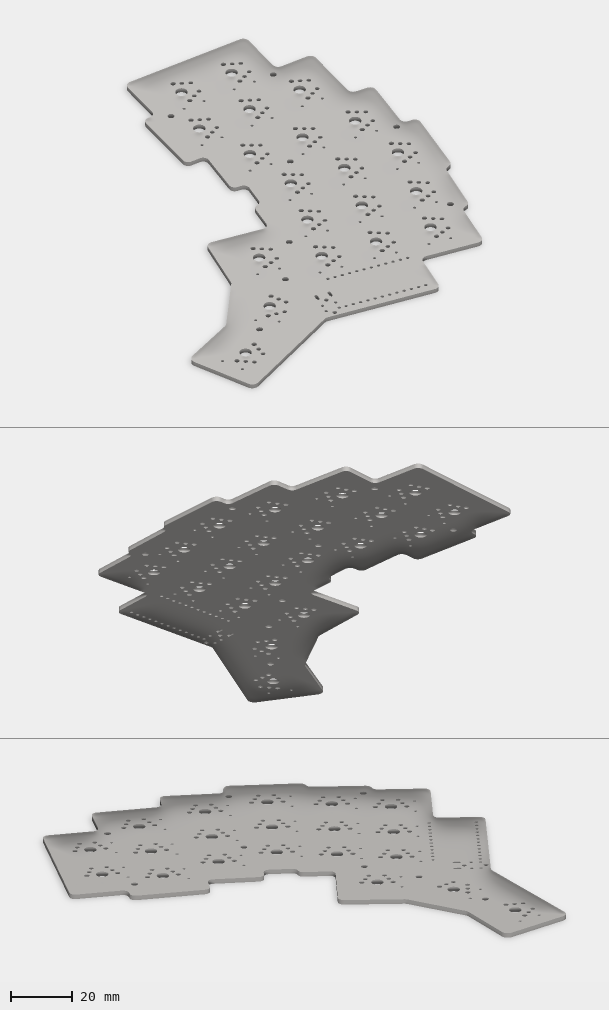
import cadquery as cq
import math


THICKNESS = 1.6
CORNER_RADIUS = 2.0
THUMB_CORNER_RADIUS = 2.35
RING_ANGLE = -5.0
MIDDLE_ANGLE = -7.0
INDEX_ANGLE = -9.0
THUMB_MIDDLE_ANGLE = -37.0
THUMB_TIP_ANGLE = -65.0

OUTLINE = [
    (0, 56.95), (0, 102.85), (18.9, 102.85), (18.9, 116.6),
    (42.4, 116.6), (43.1, 124.65), (64.35, 122.7), (64.85, 128.15),
    (90.65, 125.0), (91.75, 122.0), (111.3, 118.9), (112.0, 115.8),
    (130.05, 112.9), (126.55, 90.9), (143.1, 88.3), (136.85, 48.6),
    (154.7, 10.35), (131.8, -0.53), (123.1, 19.2),
    (105.5, 32.15), (83.85, 35.8), (87.45, 57.6),
    (76.0, 58.95), (75.4, 61.9), (64.8, 63.2), (64.2, 57.95),
    (45.4, 59.6), (45.4, 52.2), (18.9, 52.2), (18.9, 56.95),
]

KEY_PITCH = 19.05
STEM_DIAMETER = 3.99
PEG_DIAMETER = 1.7
PIN_DIAMETER = 1.5
DIODE_DIAMETER = 0.99
GRID = 1.27
DIODE_X = 7.75
DIODE_Y = 3 * GRID

PEG_POINTS = [(side * 4 * GRID, 0) for side in (-1, 1)]
PIN_POINTS = [(side * 3 * GRID, 2 * GRID) for side in (-1, 1)]
PIN_POINTS += [(side * 2 * GRID, 4 * GRID) for side in (-1, 1)]
DIODE_POINTS = [(DIODE_X, side * DIODE_Y) for side in (-1, 1)]

COLUMNS = [
    (13.22, 70.39, 0, 2),
    (32.20, 65.40, 0, 3),
    (51.98, 72.33, RING_ANGLE, 3),
    (71.81, 75.59, MIDDLE_ANGLE, 3),
    (90.59, 70.25, INDEX_ANGLE, 3),
    (108.90, 64.33, INDEX_ANGLE, 3),
]

THUMB_KEYS = [
    (99.05, 46.70, INDEX_ANGLE),
    (122.07, 36.40, THUMB_MIDDLE_ANGLE),
    (138.42, 17.12, THUMB_TIP_ANGLE),
]

CONTROLLER_DIAMETER = 1.09
CONTROLLER_PITCH = 2.54
CONTROLLER_ROW_SPACING = 15.24
CONTROLLER_PINS = 12
CONTROLLER_CORNER = (124.42, 87.33)

JACK_CENTER = (132.55, 53.03)
JACK_PEG_SPACING = 7.0
JACK_PEG_DIAMETER = 1.5
JACK_PIN_DIAMETER = 1.09
JACK_PIN_XS = (-1.2, 1.8)
JACK_ROW_Y = 2.3
JACK_SLOT_X = -5.85
JACK_SLOT_LENGTH = 2.6
JACK_SLOT_WIDTH = 1.09

MOUNT_DIAMETER = 2.2
MOUNT_POINTS = [
    (21.12, 100.32), (21.95, 61.01), (62.16, 81.41), (65.07, 119.97),
    (108.12, 113.71), (97.31, 59.19), (113.02, 47.98), (130.65, 27.25),
]


def place(point, center, angle):
    """Turn a point by an angle in degrees and move it from the origin to a center."""
    x, y = point
    cosine = math.cos(math.radians(angle))
    sine = math.sin(math.radians(angle))
    return (center[0] + x * cosine - y * sine, center[1] + x * sine + y * cosine)


def place_all(points, center, angle):
    return [place(point, center, angle) for point in points]


def hole_cutters(points, diameter):
    """Cylinders through the plate, used to cut round holes."""
    return cq.Workplane("XY").pushPoints(points).circle(diameter / 2).extrude(THICKNESS)


def make_plate():
    sharp = cq.Workplane("XY").polyline(OUTLINE).close().extrude(THICKNESS)
    thumb_corners = "<Y or >X"
    rounded = sharp.edges("|Z").edges(f"not ({thumb_corners})").fillet(CORNER_RADIUS)
    return rounded.edges("|Z").edges(thumb_corners).fillet(THUMB_CORNER_RADIUS)


def key_positions():
    """Stem center and tilt of every key."""
    keys = [((x, y), angle) for x, y, angle in THUMB_KEYS]
    for x, y, angle, count in COLUMNS:
        for row in range(count):
            keys.append((place((0, row * KEY_PITCH), (x, y), angle), angle))
    return keys


def cut_keys(plate):
    hole_groups = [
        ([(0, 0)], STEM_DIAMETER),
        (PEG_POINTS, PEG_DIAMETER),
        (PIN_POINTS, PIN_DIAMETER),
        (DIODE_POINTS, DIODE_DIAMETER),
    ]
    keys = key_positions()
    for points, diameter in hole_groups:
        centers = []
        for center, angle in keys:
            centers += place_all(points, center, angle)
        plate = plate.cut(hole_cutters(centers, diameter))
    return plate


def cut_controller(plate):
    pins = []
    for row_x in (0, CONTROLLER_ROW_SPACING):
        for index in range(CONTROLLER_PINS):
            pins.append((row_x, -index * CONTROLLER_PITCH))
    return plate.cut(hole_cutters(place_all(pins, CONTROLLER_CORNER, INDEX_ANGLE), CONTROLLER_DIAMETER))


def cut_jack(plate):
    peg_points = [(side * JACK_PEG_SPACING / 2, 0) for side in (-1, 1)]
    pin_points = [(x, side * JACK_ROW_Y) for x in JACK_PIN_XS for side in (-1, 1)]
    slot_points = [(JACK_SLOT_X, side * JACK_ROW_Y) for side in (-1, 1)]
    slots = (
        cq.Workplane("XY")
        .pushPoints(place_all(slot_points, JACK_CENTER, INDEX_ANGLE))
        .slot2D(JACK_SLOT_LENGTH, JACK_SLOT_WIDTH, INDEX_ANGLE)
        .extrude(THICKNESS)
    )
    plate = plate.cut(hole_cutters(place_all(peg_points, JACK_CENTER, INDEX_ANGLE), JACK_PEG_DIAMETER))
    plate = plate.cut(hole_cutters(place_all(pin_points, JACK_CENTER, INDEX_ANGLE), JACK_PIN_DIAMETER))
    return plate.cut(slots)


def cut_mounts(plate):
    return plate.cut(hole_cutters(MOUNT_POINTS, MOUNT_DIAMETER))


result = cut_mounts(cut_jack(cut_controller(cut_keys(make_plate()))))